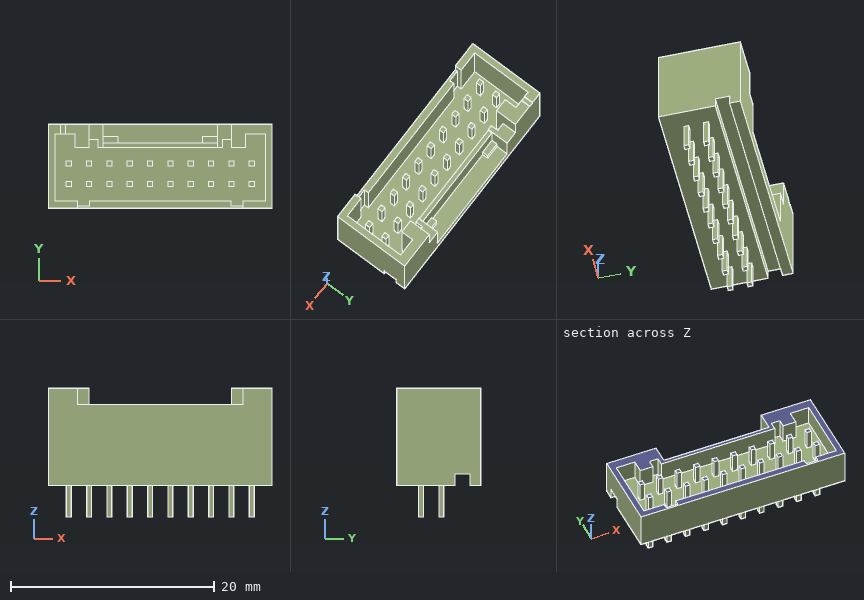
import cadquery as cq


LENGTH = 22.0
DEPTH = 8.3
HEIGHT = 9.6
END_WALL = 0.65
FRONT_WALL = 0.73
BACK_WALL = 1.0
FLOOR_TOP = 1.7

FRONT_CUT_HALF = 8.15
FRONT_CUT_DEPTH = 1.6
FRONT_GROOVE_WIDTH = 1.2
FRONT_GROOVE_SKIN = 0.25

POST_OUTER = 8.4
WINDOW_HALF = 7.0
RECESS_HALF = 5.65
BACK_THICKNESS = 2.32
BLOCK_TOP = 6.2
LATCH_WALL = 0.45
LATCH_TOP = 5.8
SLOT_WIDTH = 0.87
SLOT_DEPTH = 0.8
RIB_LENGTH = 1.5
RIB_WIDTH = 0.62
RIB_HEIGHT = 1.0

MARK_WIDTH = 0.47
MARK_DEPTH = 0.2
MARK_FROM_END = 1.2

CHANNEL_FROM_BACK = 1.08
CHANNEL_WIDTH = 1.45
CHANNEL_HEIGHT = 1.13

PINS_PER_ROW = 10
PITCH = 2.0
PIN_SIZE = 0.5
PIN_TAIL = 3.1
PIN_TOP = 5.87
FRONT_ROW_Y = 2.4
ROW_POSITIONS = (FRONT_ROW_Y, FRONT_ROW_Y + PITCH)

HALF_LENGTH = LENGTH / 2
BACK_INNER_Y = DEPTH - BACK_THICKNESS
LATCH_OUTER_Y = BACK_INNER_Y + LATCH_WALL


def block(x_span, y_span, z_span):
    """Box between the given (low, high) limits on each axis."""
    spans = (x_span, y_span, z_span)
    sizes = [high - low for low, high in spans]
    corner = tuple(low for low, high in spans)
    return cq.Workplane("XY").box(*sizes, centered=False).translate(corner)


def both_ends(solid):
    """The solid together with its mirror image across the centre plane."""
    return solid.union(solid.mirror("YZ"))


def make_shell():
    """Open-topped box, its back wall thickened between the outer sides of the posts."""
    shell = block((-HALF_LENGTH, HALF_LENGTH), (0, DEPTH), (0, HEIGHT))
    inner_half = HALF_LENGTH - END_WALL
    cavity = block((-inner_half, inner_half), (FRONT_WALL, DEPTH - BACK_WALL), (FLOOR_TOP, HEIGHT))
    thickening = block((-POST_OUTER, POST_OUTER), (BACK_INNER_Y, DEPTH), (0, HEIGHT))
    return shell.cut(cavity).union(thickening)


def cut_front_wall(body):
    """Lower the front wall and groove its inner face at each end of the opening."""
    opening = block(
        (-FRONT_CUT_HALF, FRONT_CUT_HALF),
        (0, FRONT_WALL),
        (HEIGHT - FRONT_CUT_DEPTH, HEIGHT),
    )
    groove = block(
        (FRONT_CUT_HALF - FRONT_GROOVE_WIDTH, FRONT_CUT_HALF),
        (FRONT_GROOVE_SKIN, FRONT_WALL),
        (FLOOR_TOP, HEIGHT),
    )
    return body.cut(opening).cut(both_ends(groove))


def cut_back_wall(body):
    """Open the window between the posts and form the blocks, latch wall and ribs."""
    window = block((-WINDOW_HALF, WINDOW_HALF), (BACK_INNER_Y, DEPTH), (BLOCK_TOP, HEIGHT))
    latch_relief = block((-RECESS_HALF, RECESS_HALF), (BACK_INNER_Y, DEPTH), (LATCH_TOP, HEIGHT))
    recess = block((-RECESS_HALF, RECESS_HALF), (LATCH_OUTER_Y, DEPTH), (FLOOR_TOP, HEIGHT))
    slot = block(
        (WINDOW_HALF - SLOT_WIDTH, WINDOW_HALF),
        (BACK_INNER_Y, BACK_INNER_Y + SLOT_DEPTH),
        (FLOOR_TOP, HEIGHT),
    )
    rib = block(
        (RECESS_HALF - RIB_LENGTH, RECESS_HALF),
        (LATCH_OUTER_Y, LATCH_OUTER_Y + RIB_WIDTH),
        (FLOOR_TOP, FLOOR_TOP + RIB_HEIGHT),
    )
    body = body.cut(window).cut(latch_relief).cut(recess).cut(both_ends(slot))
    return body.union(both_ends(rib))


def cut_pin_mark(body):
    """Cut the shallow groove that marks pin 1."""
    start = -HALF_LENGTH + MARK_FROM_END
    mark = block(
        (start, start + MARK_WIDTH),
        (DEPTH - BACK_WALL, DEPTH),
        (HEIGHT - MARK_DEPTH, HEIGHT),
    )
    return body.cut(mark)


def cut_channel(body):
    """Cut the channel that runs the full length of the underside."""
    back = DEPTH - CHANNEL_FROM_BACK
    channel = block((-HALF_LENGTH, HALF_LENGTH), (back - CHANNEL_WIDTH, back), (0, CHANNEL_HEIGHT))
    return body.cut(channel)


def make_pins():
    """Two rows of square pins passing through the floor."""
    pin_length = PIN_TAIL + PIN_TOP
    first_x = -PITCH * (PINS_PER_ROW - 1) / 2
    positions = [(first_x + PITCH * i, y) for y in ROW_POSITIONS for i in range(PINS_PER_ROW)]
    tail_ends = cq.Workplane("XY").workplane(offset=-PIN_TAIL).pushPoints(positions)
    return tail_ends.rect(PIN_SIZE, PIN_SIZE).extrude(pin_length)


housing = make_shell()
housing = cut_front_wall(housing)
housing = cut_back_wall(housing)
housing = cut_pin_mark(housing)
housing = cut_channel(housing)
result = housing.union(make_pins())